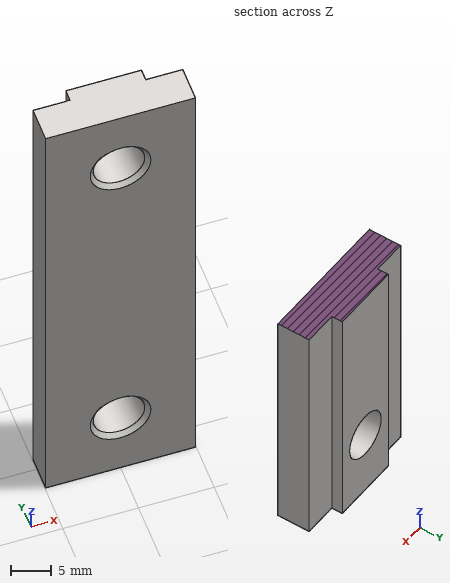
import cadquery as cq

length = 70.0
plate_width = 19.8
total_thickness = 6.4
tongue_width = 10.0
tongue_height = 1.6
hole_spacing = 50.0
hole_diameter = 6.8
countersink_diameter = 8.0

plate_thickness = total_thickness - tongue_height
countersink_depth = (countersink_diameter - hole_diameter) / 2


def plate_with_tongue():
    """T-shaped bar: plate front face on Y = 0, tongue on the +Y side."""
    plate = cq.Workplane("XY").box(plate_width, plate_thickness, length, centered=(True, False, True))
    tongue = cq.Workplane("XY").box(tongue_width, total_thickness, length, centered=(True, False, True))
    return plate.union(tongue)


def hole_cutter(z):
    """Through hole along Y with a 45 degree chamfer at the front face."""
    front = cq.Workplane("XZ", origin=(0, 0, z))
    bore = front.circle(hole_diameter / 2).extrude(-total_thickness)
    cone = front.circle(countersink_diameter / 2).workplane(offset=-countersink_depth)
    cone = cone.circle(hole_diameter / 2).loft(combine=True)
    return bore.union(cone)


result = plate_with_tongue()
for z in (-hole_spacing / 2, hole_spacing / 2):
    result = result.cut(hole_cutter(z))